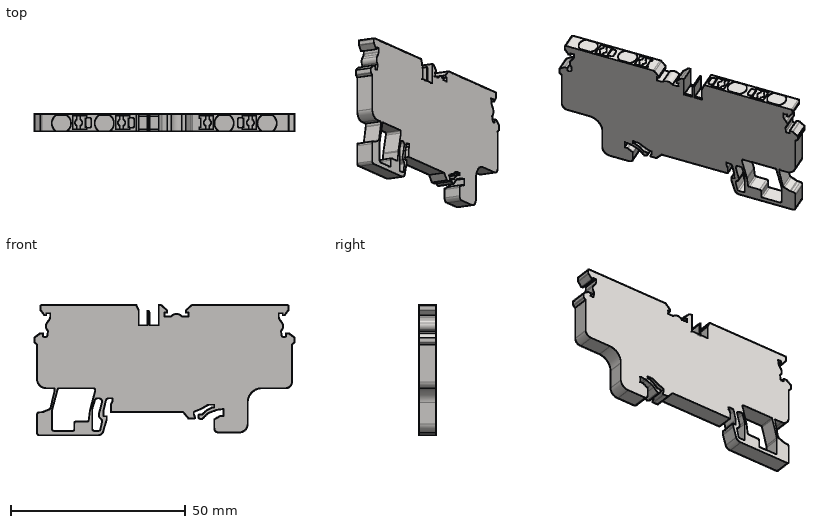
import cadquery as cq
import math

LENGTH = 74.7
THICKNESS = 5.0
HEIGHT = 37.4

HALF_LENGTH = LENGTH / 2
BODY_END = HALF_LENGTH - 0.75
BODY_BOTTOM = 13.5
RAIL_SEAT = 6.7
OVERLAP = 1.5
LEFT_CORNER_RADIUS = 2.7
RIGHT_CORNER_RADIUS = 1.9

SLOT_FLOOR = 31.7
SLOT_LEFT = -7.3
SLOT_RIGHT = -1.7
RIB_LEFT = -4.9
RIB_WIDTH = 0.7
RIB_TOP = 35.8
RIB_CHAMFER = 0.6
SLOT_CHAMFER = 0.75
SLOT_CHANNEL_WIDTH = 3.8
SLOT_CHANNEL_DEPTH = 0.1

MARKER_X = 3.4
MARKER_FLOOR = 34.15
MARKER_CREST_HALF = 1.6
MARKER_CREST_HEIGHT = 0.75
HOOK_HALF = 2.7
UNDERCUT_HALF = 3.4
UNDERCUT_TOP = 35.25
HOOK_TOP = 35.85
MOUTH_HALF = 4.3
MOUTH_ROUND = 0.6

FOOT_LEFT = -BODY_END
HOOK_GAP_RIGHT = -14.95
HOOK_GAP_TOP = 10.6
RIGHT_FOOT_BOTTOM = 0.8
RIGHT_FOOT_INNER = 14.3
RIGHT_FOOT_OUTER = 23.9
RIGHT_FOOT_BLEND = 4.0
RIGHT_FOOT_ROUND = 2.55
BLEND_END = RIGHT_FOOT_OUTER + RIGHT_FOOT_BLEND + OVERLAP

RECESS_DEPTH = 0.1
ENTRY_POSITIONS = (-29.6, -17.25, 17.1, 29.4)
ENTRY_RADIUS = 2.8
ENTRY_Y = -0.15
ENTRY_FRONT = -2.4
ENTRY_BACK = 2.1
POCKET_POSITIONS = (-24.3, -11.95, 11.95, 24.3)
POCKET_LENGTH = 3.95
POCKET_WIDTH = 3.9
KEYHOLE_RADIUS = 1.05
KEYHOLE_SLIT = 1.0
KEYHOLE_DEPTH = 2 * RECESS_DEPTH
KEYHOLE_OFFSET = 0.4
NOTCH_DEPTH = 0.45
NOTCH_WIDTH = 2.55
TAP_POSITIONS = (-21.8, -9.5, 21.8)
TAP_LENGTH = 1.6
TAP_WIDTH = 3.0
TAP_ROUND = 0.6


def rounded_wire(corners):
    """Closed XZ outline; each corner is (x, z) or (x, z, radius)."""
    path = None
    count = len(corners)
    for index, corner in enumerate(corners):
        x, z = corner[:2]
        radius = corner[2] if len(corner) == 3 else 0
        stops = [(x, z)]
        if radius:
            before = corners[index - 1]
            after = corners[(index + 1) % count]
            angle_in = math.atan2(before[1] - z, before[0] - x)
            angle_out = math.atan2(after[1] - z, after[0] - x)
            turn = math.remainder(angle_out - angle_in, math.tau)
            half = abs(turn) / 2
            bisector = angle_in + turn / 2
            tangent = radius / math.tan(half)
            apex = radius / math.sin(half) - radius
            stops = [
                (x + tangent * math.cos(angle_in), z + tangent * math.sin(angle_in)),
                (x + apex * math.cos(bisector), z + apex * math.sin(bisector)),
                (x + tangent * math.cos(angle_out), z + tangent * math.sin(angle_out)),
            ]
        if path is None:
            path = cq.Workplane("XZ").moveTo(*stops[0])
        else:
            path = path.lineTo(*stops[0])
        if radius:
            path = path.threePointArc(stops[1], stops[2])
    return path.close()


def plate(corners):
    """Full-thickness plate, centred on Y = 0."""
    return rounded_wire(corners).extrude(THICKNESS / 2, both=True)


def end_latch(side):
    """Latch profile of one end, from the top face down to the end wall."""
    inset_corners = [
        (1.7, HEIGHT, 0.4),
        (1.7, 36.0, 0.3),
        (2.9, 34.4, 0.15),
        (3.4, 34.4),
        (3.4, 35.0),
        (4.55, 35.0),
        (4.55, 33.9, 0.45),
        (4.25, 33.2, 0.3),
        (2.9, 31.45, 1.65),
        (3.9, 29.95),
        (3.65, 28.3, 0.4),
        (2.55, 28.3, 0.2),
        (2.55, 29.3),
        (1.65, 29.3, 0.2),
        (0.0, 28.1),
        (0.0, 26.75, 0.3),
        (0.75, 26.1),
    ]
    return [(side * (HALF_LENGTH - corner[0]), *corner[1:]) for corner in inset_corners]


def body():
    """Main plate with a mirrored latch at each end."""
    bottom = [
        (BODY_END, BODY_BOTTOM, RIGHT_CORNER_RADIUS),
        (-BODY_END, BODY_BOTTOM, LEFT_CORNER_RADIUS),
    ]
    return plate(end_latch(1) + bottom + end_latch(-1)[::-1])


def jumper_slots():
    """Two wells open at the top, divided by the thin rib."""
    rib_right = RIB_LEFT + RIB_WIDTH
    return plate([
        (SLOT_LEFT - SLOT_CHAMFER, HEIGHT + OVERLAP),
        (SLOT_LEFT - SLOT_CHAMFER, HEIGHT),
        (SLOT_LEFT, RIB_TOP),
        (SLOT_LEFT, SLOT_FLOOR),
        (RIB_LEFT, SLOT_FLOOR),
        (RIB_LEFT, RIB_TOP),
        (rib_right - RIB_CHAMFER / 2, RIB_TOP),
        (rib_right, RIB_TOP - RIB_CHAMFER),
        (rib_right, SLOT_FLOOR),
        (SLOT_RIGHT, SLOT_FLOOR),
        (SLOT_RIGHT, HEIGHT + OVERLAP),
    ])


def slot_channel(left, right):
    """Shallow channel in the floor of one well, leaving a lip at each side face."""
    floor = cq.Workplane("XY", origin=((left + right) / 2, 0, SLOT_FLOOR - SLOT_CHANNEL_DEPTH))
    return floor.rect(right - left, SLOT_CHANNEL_WIDTH).extrude(SLOT_CHANNEL_DEPTH)


def marker_groove():
    """Undercut groove with rounded mouth edges and an arched crest on its floor."""
    half = [
        (MOUTH_HALF + MOUTH_ROUND, HEIGHT + OVERLAP),
        (MOUTH_HALF + MOUTH_ROUND, HEIGHT),
        (MOUTH_HALF, HEIGHT, MOUTH_ROUND),
        (HOOK_HALF, HOOK_TOP),
        (HOOK_HALF, UNDERCUT_TOP),
        (UNDERCUT_HALF, UNDERCUT_TOP),
        (UNDERCUT_HALF, MARKER_FLOOR),
    ]
    right = [(MARKER_X + corner[0], *corner[1:]) for corner in half]
    left = [(MARKER_X - corner[0], *corner[1:]) for corner in half[::-1]]
    crest = (
        cq.Workplane("XZ")
        .moveTo(MARKER_X - MARKER_CREST_HALF, MARKER_FLOOR)
        .threePointArc(
            (MARKER_X, MARKER_FLOOR + MARKER_CREST_HEIGHT),
            (MARKER_X + MARKER_CREST_HALF, MARKER_FLOOR),
        )
        .close()
        .extrude(THICKNESS / 2, both=True)
    )
    return plate(right + left).cut(crest)


def left_foot():
    """Springy rail foot: outer outline less the window and the spring slot."""
    outer = plate([
        (-31.6, BODY_BOTTOM + OVERLAP),
        (-31.6, 12.7, 0.6),
        (-32.8, 7.6, 0.6),
        (-34.95, 6.7, 0.75),
        (FOOT_LEFT, 6.65, 0.75),
        (FOOT_LEFT, 0, 0.75),
        (-17.9, 0, 1.65),
        (-16.5, 4.6, 1.5),
        (-16.5, 5.5),
        (-17.5, 5.5),
        (-17.5, 7.1, 2.25),
        (-16.65, HOOK_GAP_TOP, 0.75),
        (HOOK_GAP_RIGHT, HOOK_GAP_TOP),
        (HOOK_GAP_RIGHT, BODY_BOTTOM + OVERLAP),
    ])
    window = plate([
        (-30.55, BODY_BOTTOM, 0.3),
        (-19.7, BODY_BOTTOM, 0.5),
        (-21.45, 7.1, 2.25),
        (-21.8, 4.0, 0.4),
        (-25.9, 4.0, 0.6),
        (-25.9, 1.35, 0.4),
        (-32.3, 1.35, 0.6),
        (-32.3, 7.1, 2.25),
    ])
    spring_slot = plate([
        (-19.8, HOOK_GAP_TOP, 0.6),
        (-17.7, HOOK_GAP_TOP, 0.9),
        (-18.9, 6.0, 1.1),
        (-18.75, 5.2, 0.3),
        (-17.85, 4.3, 0.3),
        (-18.5, 1.35, 0.45),
        (-20.7, 1.35, 0.45),
        (-20.7, 7.7, 2.25),
    ])
    return outer, window.union(spring_slot)


def base_and_right_foot():
    """Rail seat, spring tongue and fixed rail foot in one outline."""
    seat = [
        (HOOK_GAP_RIGHT, BODY_BOTTOM + OVERLAP),
        (HOOK_GAP_RIGHT, 9.85),
        (-15.4, 9.0, 0.4),
        (-15.4, RAIL_SEAT),
        (5.3, RAIL_SEAT),
        (6.9, 4.85),
        (8.9, 4.85, 0.2),
        (8.45, 6.05, 0.3),
        (8.45, 6.7),
    ]
    tongue = [
        (10.75, 7.7),
        (12.5, 8.75, 1.1),
        (14.3, 8.75),
        (14.3, 8.1),
        (13.7, 8.1, 0.75),
        (12.1, 7.25, 1.5),
        (10.8, 6.05, 0.3),
        (9.7, 6.05, 0.4),
        (9.7, 4.9, 0.4),
        (10.7, 4.55, 0.2),
        (12.5, 6.35, 2.25),
        (15.1, 7.3, 2.25),
        (16.9, 7.55),
        (16.9, 5.6),
        (16.0, 5.6, 0.45),
    ]
    foot = [
        (RIGHT_FOOT_INNER, 4.6, 0.2),
        (RIGHT_FOOT_INNER, RIGHT_FOOT_BOTTOM, 1.2),
        (RIGHT_FOOT_OUTER, RIGHT_FOOT_BOTTOM, RIGHT_FOOT_ROUND),
        (RIGHT_FOOT_OUTER, BODY_BOTTOM, RIGHT_FOOT_BLEND),
        (BLEND_END, BODY_BOTTOM),
        (BLEND_END, BODY_BOTTOM + OVERLAP),
    ]
    return plate(seat + tongue + foot)


def top_recess(x, y=0, depth=RECESS_DEPTH):
    """Workplane on the floor of a shallow recess in the top face."""
    return cq.Workplane("XY", origin=(x, y, HEIGHT - depth))


def wire_entry(x):
    """Round recess flattened where it would meet the side faces."""
    disc = top_recess(x, ENTRY_Y).circle(ENTRY_RADIUS).extrude(RECESS_DEPTH)
    band_centre = (ENTRY_FRONT + ENTRY_BACK) / 2
    band_width = ENTRY_BACK - ENTRY_FRONT
    band = top_recess(x, band_centre).rect(2 * ENTRY_RADIUS, band_width).extrude(RECESS_DEPTH)
    return disc.intersect(band)


def release_pocket(x, side):
    """Pocket with a deeper keyhole, notched on the side facing mid-length."""
    keyhole_x = x + side * KEYHOLE_OFFSET
    notch_x = x - side * (POCKET_LENGTH - NOTCH_DEPTH) / 2
    pocket = top_recess(x).rect(POCKET_LENGTH, POCKET_WIDTH).extrude(RECESS_DEPTH)
    keyhole_floor = top_recess(keyhole_x, depth=KEYHOLE_DEPTH)
    keyhole = keyhole_floor.circle(KEYHOLE_RADIUS).extrude(KEYHOLE_DEPTH)
    slit = keyhole_floor.rect(KEYHOLE_SLIT, POCKET_WIDTH).extrude(KEYHOLE_DEPTH, combine=False)
    notch = top_recess(notch_x).rect(NOTCH_DEPTH, NOTCH_WIDTH).extrude(RECESS_DEPTH)
    return pocket.cut(notch).union(keyhole).union(slit)


def test_tap(x):
    """Rounded recess beside the notch of a release pocket."""
    return top_recess(x).rect(TAP_LENGTH, TAP_WIDTH).extrude(RECESS_DEPTH).edges("|Z").fillet(TAP_ROUND)


foot_outer, foot_openings = left_foot()
result = (
    body()
    .cut(jumper_slots())
    .cut(marker_groove())
    .union(base_and_right_foot())
    .union(foot_outer.cut(foot_openings))
)
for well in ((SLOT_LEFT, RIB_LEFT), (RIB_LEFT + RIB_WIDTH, SLOT_RIGHT)):
    result = result.cut(slot_channel(*well))
for entry_x in ENTRY_POSITIONS:
    result = result.cut(wire_entry(entry_x))
for pocket_x in POCKET_POSITIONS:
    result = result.cut(release_pocket(pocket_x, math.copysign(1, pocket_x)))
for tap_x in TAP_POSITIONS:
    result = result.cut(test_tap(tap_x))